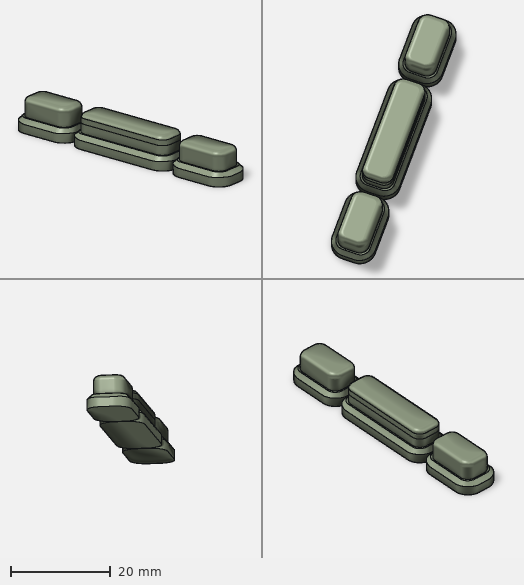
import cadquery as cq

total_length = 54.15
key_depth = 9.15
key_height = 7.0

side_key_length = 14.2
key_gap = 0.3
center_key_length = total_length - 2 * (side_key_length + key_gap)
side_key_offset = (total_length - side_key_length) / 2

flange_height = 2.9
bevel = 1.0
bevel_corner_radius = 3.0
ledge_width = 0.3

button_inset = bevel + ledge_width
button_corner_radius = 2.0
top_fillet = 1.2
flange_corner_radius = button_corner_radius + button_inset

band_bottom = 5.0
band_top = 6.2


def rounded_block(length, depth, height, corner_radius):
    """Block standing on Z = 0 with rounded vertical edges."""
    return (
        cq.Workplane("XY")
        .box(length, depth, height, centered=(True, True, False))
        .edges("|Z")
        .fillet(corner_radius)
    )


def flange(length):
    """Foot plate whose bevel has tighter corners than its vertical wall."""
    wall = rounded_block(length, key_depth, flange_height, flange_corner_radius)
    beveled = rounded_block(length, key_depth, flange_height, bevel_corner_radius)
    beveled = beveled.faces(">Z").chamfer(bevel)
    return wall.intersect(beveled)


def button(length):
    """Raised part with a rounded top edge, running down to the underside of the key."""
    block = rounded_block(
        length - 2 * button_inset, key_depth - 2 * button_inset, key_height, button_corner_radius
    )
    return block.faces(">Z").edges().fillet(top_fillet)


def key(length):
    """Complete key: a beveled flange and its raised button."""
    return flange(length).union(button(length))


def slice_between(body, bottom, top):
    """Part of a body lying between two heights."""
    slab = (
        cq.Workplane("XY")
        .box(total_length, key_depth, top - bottom, centered=(True, True, False))
        .translate((0, 0, bottom))
    )
    return body.intersect(slab)


side_keys = [key(side_key_length).translate((side * side_key_offset, 0, 0)) for side in (-1, 1)]

center_key = key(center_key_length)
center_base = slice_between(center_key, 0, band_bottom)
center_band = slice_between(center_key, band_bottom, band_top)
center_cap = slice_between(center_key, band_top, key_height)

result = cq.Compound.makeCompound(
    [
        *[side_key.val() for side_key in side_keys],
        center_base.val(),
        center_band.val(),
        center_cap.val(),
    ]
)